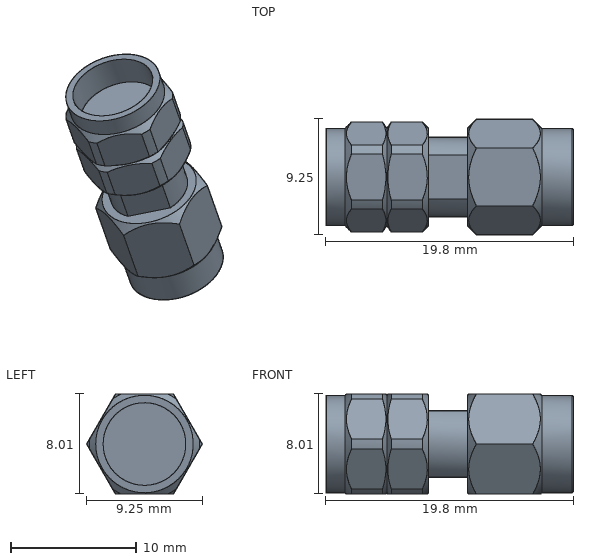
import cadquery as cq
import math

total_length = 19.79
nut_start = 1.5
nut_split = 4.85
nut_end = 8.2
neck_end = 11.28
hex_end = 17.24

across_flats = 8.01
across_corners = across_flats / math.cos(math.pi / 6)
collar_radius = 3.9
nut_corner_radius = 4.41
neck_radius = 3.19
neck_thickness = 5.32

bore_radius = 3.3
bore_depth = 2.5
end_chamfer = 0.12
nut_outer_chamfer = nut_corner_radius - collar_radius
nut_inner_chamfer = 0.35


def cylinder(start, end, radius):
    return cq.Workplane("YZ", origin=(start, 0, 0)).circle(radius).extrude(end - start)


def hexagon(start, end):
    """Hexagonal bar with corners pointing along Y."""
    return cq.Workplane("YZ", origin=(start, 0, 0)).polygon(6, across_corners).extrude(end - start)


def turned_hexagon(start, end, corner_radius, start_chamfer, end_chamfer_length):
    """Hexagonal bar with its corners turned down and coned to the collar radius at both ends."""
    envelope = (
        cq.Workplane("XY")
        .moveTo(start, 0)
        .lineTo(start, collar_radius)
        .lineTo(start + start_chamfer, corner_radius)
        .lineTo(end - end_chamfer_length, corner_radius)
        .lineTo(end, collar_radius)
        .lineTo(end, 0)
        .close()
        .revolve(360, (0, 0, 0), (1, 0, 0))
    )
    return hexagon(start, end).intersect(envelope)


front_nut = turned_hexagon(nut_start, nut_split, nut_corner_radius, nut_outer_chamfer, nut_inner_chamfer)
rear_nut = turned_hexagon(nut_split, nut_end, nut_corner_radius, nut_inner_chamfer, nut_outer_chamfer)

hex_corner_radius = across_corners / 2
hex_chamfer = hex_corner_radius - collar_radius
coupling_hex = turned_hexagon(neck_end, hex_end, hex_corner_radius, hex_chamfer, hex_chamfer)

neck_length = neck_end - nut_end
neck_flats = cq.Workplane("XY").box(neck_length, 2 * neck_radius, neck_thickness)
neck_flats = neck_flats.translate(((nut_end + neck_end) / 2, 0, 0))
neck = cylinder(nut_end, neck_end, neck_radius).intersect(neck_flats)

front_collar = cylinder(0, nut_start, collar_radius)
rear_collar = cylinder(hex_end, total_length, collar_radius).faces(">X").chamfer(end_chamfer)

bore = cylinder(0, bore_depth, bore_radius)

result = (
    front_collar.union(front_nut)
    .union(rear_nut)
    .union(neck)
    .union(coupling_hex)
    .union(rear_collar)
    .cut(bore)
)